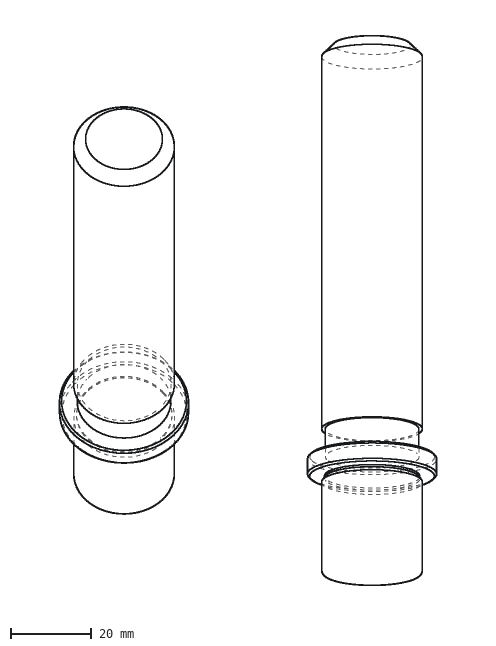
import cadquery as cq

total_length = 135.0
shaft_diameter = 25.0
collar_diameter = 32.0
neck_diameter = 23.2
collar_bottom = 25.0
collar_thickness = 5.0
neck_length = 7.0
relief_length = 0.5
taper_length = 1.0
relief_depth = 0.7
tip_chamfer = 3.0
foot_rounding = 1.0
collar_chamfer = 0.5

collar_top = collar_bottom + collar_thickness
neck_top = collar_top + neck_length
shank_top = collar_bottom - relief_length


def cylinder(diameter, bottom, top):
    """Round section on the Z axis between two heights."""
    return cq.Workplane("XY").workplane(offset=bottom).circle(diameter / 2).extrude(top - bottom)


shank = cylinder(shaft_diameter, 0, shank_top).faces("<Z").edges().fillet(foot_rounding)
shank = shank.faces(">Z").chamfer(taper_length, relief_depth)
relief = cylinder(shaft_diameter - 2 * relief_depth, shank_top, collar_bottom)

collar = cylinder(collar_diameter, collar_bottom, collar_top).edges().chamfer(collar_chamfer)

neck = cylinder(neck_diameter, collar_top, neck_top)
shaft = cylinder(shaft_diameter, neck_top, total_length).faces(">Z").chamfer(tip_chamfer)

result = shank.union(relief).union(collar).union(neck).union(shaft)